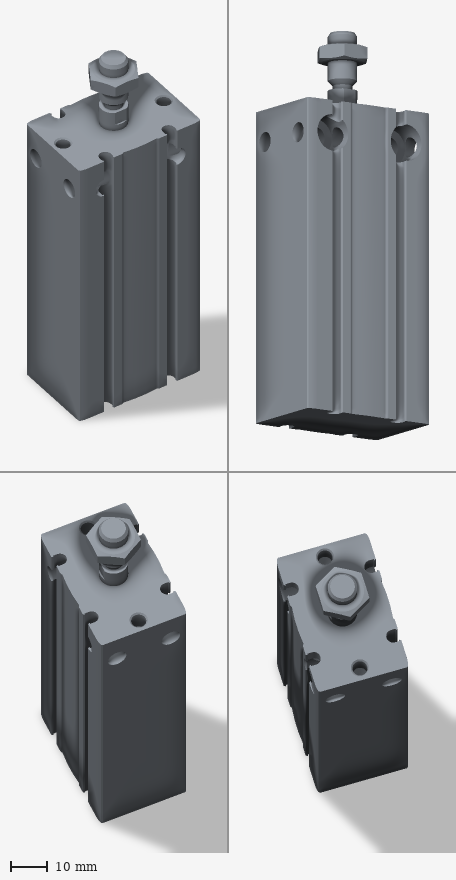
import cadquery as cq
import math

HOUSING_X = 26.0
HOUSING_Y = 40.0
HOUSING_TOP = 86.0
TOTAL_HEIGHT = 108.0

CORNER_ARC_START = 17.4
CORNER_ARC_END_INSET = 0.3
CORNER_BEVEL_X = 0.8
STEP_OUTER_Y = 6.3
STEP_INNER_Y = 5.3
STEP_DEPTH = 0.3

SLOT_Y = 10.4
SLOT_WIDTH = 3.7
SLOT_DEPTH = 3.7
SLOT_MOUTH_WIDTH = 3.3
SLOT_THROAT_WIDTH = 2.9
SLOT_LIP = 0.5

MOUNT_DROP = 9.0
MOUNT_DIAMETER = 5.5
CROSS_HOLE_Y = 12.0
COUNTERBORE_DIAMETER = 10.0
COUNTERBORE_DEPTH = 8.0
END_HOLE_X = 8.0

TAPPED_Y = 16.5
TAPPED_DIAMETER = 4.1
TAPPED_MOUTH_DIAMETER = 5.0
TAPPED_DEPTH = 5.9
DRILL_POINT_ANGLE = 118.0

ROD_DIAMETER = 8.0
SHANK_LENGTH = 6.0
NECK_DIAMETER = 5.3
NECK_LENGTH = 1.4
ROD_TIP_DIAMETER = 6.7
ROD_TIP_TAPER_LENGTH = 1.0
FLAT_WIDTH = 7.0
FLAT_HEIGHT = 4.0

NUT_SIDES = 6
NUT_ACROSS_FLATS = 13.0
NUT_THICKNESS = 4.3
NUT_BEVEL_DIAMETER = 11.7
NUT_BEVEL_ANGLE = 20.0
NUT_DROP = 3.9


def housing_blank():
    """Extruded housing with eased corners and a crowned middle on both long sides."""
    side = HOUSING_X / 2
    end = HOUSING_Y / 2
    groove_x = side - STEP_DEPTH
    step_middle = (side - STEP_DEPTH / 2, (STEP_OUTER_Y + STEP_INNER_Y) / 2)
    step_length = STEP_OUTER_Y - STEP_INNER_Y
    step_radius = (step_length**2 + STEP_DEPTH**2) / (4 * STEP_DEPTH)
    crown_radius = (STEP_INNER_Y**2 + STEP_DEPTH**2) / (2 * STEP_DEPTH)
    crown_mid_y = STEP_INNER_Y / 2
    crown_mid_x = side - crown_radius + math.sqrt(crown_radius**2 - crown_mid_y**2)
    quarter = (
        cq.Workplane("XY")
        .lineTo(side, 0)
        .threePointArc((crown_mid_x, crown_mid_y), (groove_x, STEP_INNER_Y))
        .radiusArc(step_middle, step_radius)
        .radiusArc((side, STEP_OUTER_Y), -step_radius)
        .lineTo(side, CORNER_ARC_START)
        .tangentArcPoint((side - CORNER_ARC_END_INSET, end - CORNER_ARC_END_INSET), relative=False)
        .lineTo(side - CORNER_BEVEL_X, end)
        .lineTo(0, end)
        .close()
        .extrude(HOUSING_TOP)
    )
    half = quarter.union(quarter.mirror("XZ"))
    return half.union(half.mirror("YZ"))


def sensor_slot(x_side, y_side):
    """Full-height slot with a round bottom and a narrower mouth, on the given X and Y sides of the housing."""
    side = HOUSING_X / 2
    radius = SLOT_WIDTH / 2
    centre_x = x_side * (side - SLOT_DEPTH + radius)
    lip_x = x_side * (side - SLOT_LIP)
    centre_y = y_side * SLOT_Y
    bottom = (
        cq.Workplane("XY")
        .moveTo(lip_x, centre_y - radius)
        .lineTo(centre_x, centre_y - radius)
        .threePointArc((x_side * (side - SLOT_DEPTH), centre_y), (centre_x, centre_y + radius))
        .lineTo(lip_x, centre_y + radius)
        .close()
        .extrude(HOUSING_TOP)
    )
    mouth = (
        cq.Workplane("XY")
        .polyline([
            (lip_x, centre_y - SLOT_THROAT_WIDTH / 2),
            (x_side * side, centre_y - SLOT_MOUTH_WIDTH / 2),
            (x_side * side, centre_y + SLOT_MOUTH_WIDTH / 2),
            (lip_x, centre_y + SLOT_THROAT_WIDTH / 2),
        ])
        .close()
        .extrude(HOUSING_TOP)
    )
    return bottom.union(mouth)


def cross_hole(y):
    """Hole along X through the housing, counterbored on the -X side."""
    start = cq.Workplane("YZ", origin=(-HOUSING_X / 2, y, HOUSING_TOP - MOUNT_DROP))
    counterbore = start.circle(COUNTERBORE_DIAMETER / 2).extrude(COUNTERBORE_DEPTH)
    return start.circle(MOUNT_DIAMETER / 2).extrude(HOUSING_X).union(counterbore)


def end_hole(x):
    """Plain hole along Y through the housing."""
    start = cq.Workplane("XZ", origin=(x, HOUSING_Y / 2, HOUSING_TOP - MOUNT_DROP))
    return start.circle(MOUNT_DIAMETER / 2).extrude(HOUSING_Y)


def tapped_hole(y):
    """Blind hole in the top face with a chamfered mouth and a conical drill point."""
    radius = TAPPED_DIAMETER / 2
    mouth_radius = TAPPED_MOUTH_DIAMETER / 2
    chamfer = mouth_radius - radius
    point_height = radius / math.tan(math.radians(DRILL_POINT_ANGLE / 2))
    half_section = (
        cq.Workplane("XZ")
        .polyline([
            (0, 0),
            (mouth_radius, 0),
            (radius, -chamfer),
            (radius, -TAPPED_DEPTH),
            (0, -TAPPED_DEPTH - point_height),
        ])
        .close()
    )
    return half_section.revolve(360, (0, 0), (0, 1)).translate((0, y, HOUSING_TOP))


def make_housing():
    housing = housing_blank()
    for side in (-1, 1):
        for x_side in (-1, 1):
            housing = housing.cut(sensor_slot(x_side, side))
        housing = housing.cut(cross_hole(side * CROSS_HOLE_Y))
        housing = housing.cut(end_hole(side * END_HOLE_X))
        housing = housing.cut(tapped_hole(side * TAPPED_Y))
    return housing


def make_rod():
    """Piston rod standing on the housing: shank with wrench flats, neck and threaded end."""
    radius = ROD_DIAMETER / 2
    neck_radius = NECK_DIAMETER / 2
    neck_bottom = HOUSING_TOP + SHANK_LENGTH
    cone_bottom = neck_bottom + NECK_LENGTH
    cone_height = radius - neck_radius
    rod = (
        cq.Workplane("XZ")
        .polyline([
            (0, HOUSING_TOP),
            (radius, HOUSING_TOP),
            (radius, neck_bottom),
            (neck_radius, neck_bottom),
            (neck_radius, cone_bottom),
            (radius, cone_bottom + cone_height),
            (radius, TOTAL_HEIGHT - ROD_TIP_TAPER_LENGTH),
            (ROD_TIP_DIAMETER / 2, TOTAL_HEIGHT),
            (0, TOTAL_HEIGHT),
        ])
        .close()
        .revolve(360, (0, 0), (0, 1))
    )
    flat_cut = cq.Workplane("XY").box(ROD_DIAMETER, ROD_DIAMETER, FLAT_HEIGHT)
    flat_cut_x = (FLAT_WIDTH + ROD_DIAMETER) / 2
    for side in (-1, 1):
        rod = rod.cut(flat_cut.translate((side * flat_cut_x, 0, neck_bottom - FLAT_HEIGHT / 2)))
    return rod


def make_nut():
    """Hexagonal nut with two corners on the Y axis and both ends bevelled to a round edge."""
    across_corners = NUT_ACROSS_FLATS / math.cos(math.radians(180 / NUT_SIDES))
    corner_radius = across_corners / 2
    bevel_radius = NUT_BEVEL_DIAMETER / 2
    bevel_drop = (corner_radius - bevel_radius) * math.tan(math.radians(NUT_BEVEL_ANGLE))
    hexagon = (
        cq.Workplane("XY")
        .transformed(rotate=(0, 0, 90))
        .polygon(NUT_SIDES, across_corners)
        .extrude(NUT_THICKNESS)
    )
    bevelled_round = (
        cq.Workplane("XZ")
        .polyline([
            (0, 0),
            (bevel_radius, 0),
            (corner_radius, bevel_drop),
            (corner_radius, NUT_THICKNESS - bevel_drop),
            (bevel_radius, NUT_THICKNESS),
            (0, NUT_THICKNESS),
        ])
        .close()
        .revolve(360, (0, 0), (0, 1))
    )
    bore = cq.Workplane("XY").circle(ROD_DIAMETER / 2).extrude(NUT_THICKNESS)
    nut = hexagon.intersect(bevelled_round).cut(bore)
    return nut.translate((0, 0, TOTAL_HEIGHT - NUT_DROP - NUT_THICKNESS))


housing = make_housing()
rod = make_rod()
nut = make_nut()

result = cq.Compound.makeCompound([housing.val(), rod.val(), nut.val()])